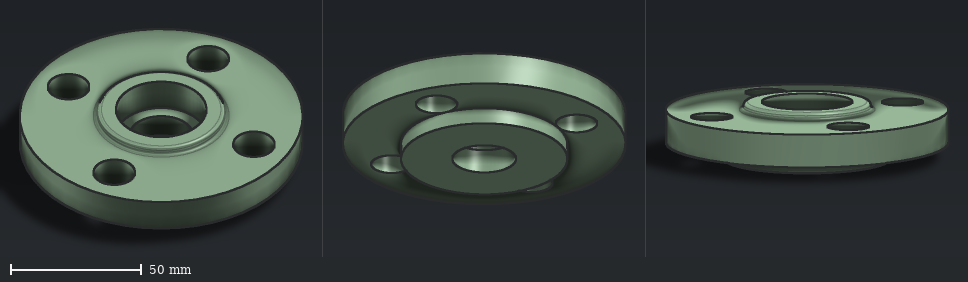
import cadquery as cq
import math

flange_diameter = 108.0
flange_thickness = 12.75
face_diameter = 63.5
face_height = 6.35

hub_height = 3.0
hub_base_diameter = 49.6
hub_draft_angle = 16.0
hub_fillet_radius = 1.5

bore_diameter = 24.3
socket_diameter = 34.5
socket_depth = 12.7

bolt_hole_count = 4
bolt_hole_diameter = 15.8
bolt_circle_diameter = 79.3

flange_bottom = face_height
flange_top = flange_bottom + flange_thickness
hub_top = flange_top + hub_height


def disc(diameter, bottom, top):
    """Cylinder on the Z axis between two levels."""
    return cq.Workplane("XY").workplane(offset=bottom).circle(diameter / 2).extrude(top - bottom)


def hub():
    """Cone narrowing upwards, sunk to the flange bottom so that it fuses fully with the plate."""
    base_radius = hub_base_diameter / 2
    top_radius = base_radius - hub_height * math.tan(math.radians(hub_draft_angle))
    profile = (
        cq.Workplane("XZ")
        .moveTo(0, flange_bottom)
        .lineTo(base_radius, flange_bottom)
        .lineTo(base_radius, flange_top)
        .lineTo(top_radius, hub_top)
        .lineTo(0, hub_top)
        .close()
    )
    return profile.revolve(360, (0, 0, 0), (0, 1, 0))


def flange_body():
    """Solid flange with its raised face and hub; the hub's rim and foot are rounded."""
    body = disc(face_diameter, 0, flange_top)
    body = body.union(disc(flange_diameter, flange_bottom, flange_top))
    body = body.union(hub())
    rim = cq.selectors.RadiusNthSelector(0)
    foot = cq.selectors.RadiusNthSelector(1)
    return body.edges("%CIRCLE").edges(rim + foot).fillet(hub_fillet_radius)


def stepped_bore():
    socket = disc(socket_diameter, hub_top - socket_depth, hub_top)
    return disc(bore_diameter, 0, hub_top).union(socket)


def bolt_holes():
    return (
        cq.Workplane("XY")
        .workplane(offset=flange_bottom)
        .polarArray(bolt_circle_diameter / 2, 0, 360, bolt_hole_count)
        .circle(bolt_hole_diameter / 2)
        .extrude(flange_thickness)
    )


result = flange_body().cut(stepped_bore()).cut(bolt_holes())